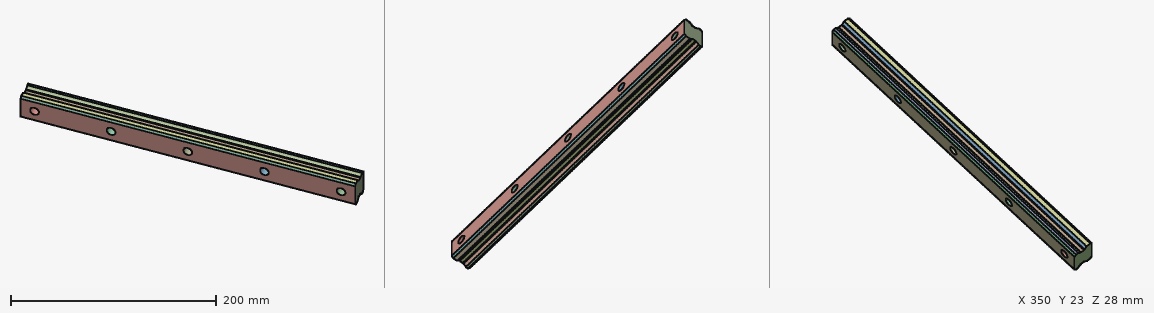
import cadquery as cq

LENGTH = 350.0
WIDTH = 23.0
HEIGHT = 28.0
CHAMFER = 2.0

GROOVE_DEPTH = 3.0
FLANK_TOP_Y = -4.5
FLANK_FOOT_Y = -1.8
RELIEF_START_Y = -1.0
RELIEF_END_Y = 2.8
ARC_FOOT_Y = 3.5
LIP_Y = 6.5
ARC_DEPTH = 2.5
ARC_SAG = 0.5

HOLE_DIAMETER = 9.0
HOLE_COUNT = 5
HOLE_PITCH = 80.0


def make_body():
    """Rectangular bar with its four long edges chamfered."""
    return cq.Workplane("XY").box(LENGTH, WIDTH, HEIGHT).edges("|X").chamfer(CHAMFER)


def make_groove():
    """Cutter for the upper groove: a 45 degree flank, a shallow flat-floored relief and a concave flank."""
    top = HEIGHT / 2
    floor = top - GROOVE_DEPTH
    flank_foot = top - (FLANK_FOOT_Y - FLANK_TOP_Y)
    arc_foot = top - ARC_DEPTH
    arc_middle_y = (LIP_Y + ARC_FOOT_Y) / 2 + ARC_SAG
    arc_middle_z = (top + arc_foot) / 2 - ARC_SAG
    return (
        cq.Workplane("YZ")
        .moveTo(FLANK_TOP_Y, top)
        .lineTo(FLANK_FOOT_Y, flank_foot)
        .lineTo(RELIEF_START_Y, floor)
        .lineTo(RELIEF_END_Y, floor)
        .lineTo(ARC_FOOT_Y, arc_foot)
        .threePointArc((arc_middle_y, arc_middle_z), (LIP_Y, top))
        .close()
        .extrude(LENGTH / 2, both=True)
    )


def make_holes():
    """Cutters for the row of mounting holes, centred on the rail."""
    return (
        cq.Workplane("XZ")
        .rarray(HOLE_PITCH, 3.5, HOLE_COUNT, 1)
        .circle(HOLE_DIAMETER / 2)
        .extrude(WIDTH / 2, both=True)
    )


upper_groove = make_groove()
lower_groove = upper_groove.mirror("XY")
result = make_body().cut(upper_groove).cut(lower_groove).cut(make_holes())